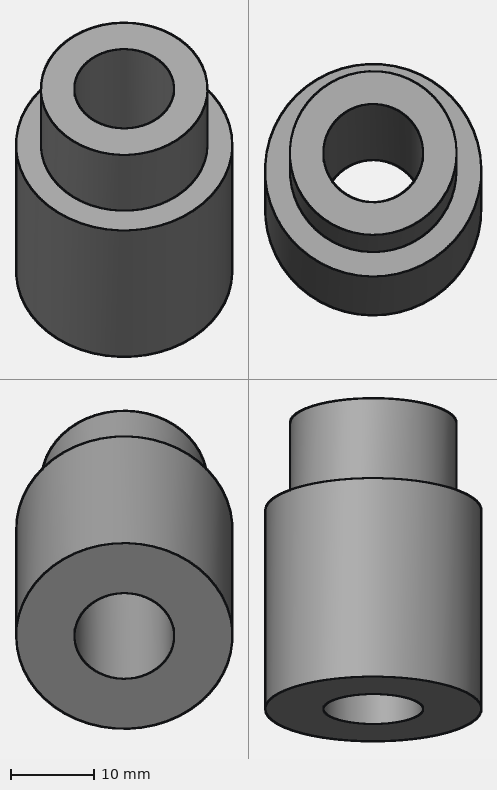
import cadquery as cq

total_height = 36.0
body_height = 25.0
body_diameter = 26.0
neck_diameter = 20.0
bore_diameter = 12.0

neck_height = total_height - body_height

body = cq.Workplane("XY").circle(body_diameter / 2).extrude(body_height)

stepped_sleeve = body.faces(">Z").workplane().circle(neck_diameter / 2).extrude(neck_height)

result = stepped_sleeve.faces(">Z").workplane().hole(bore_diameter)